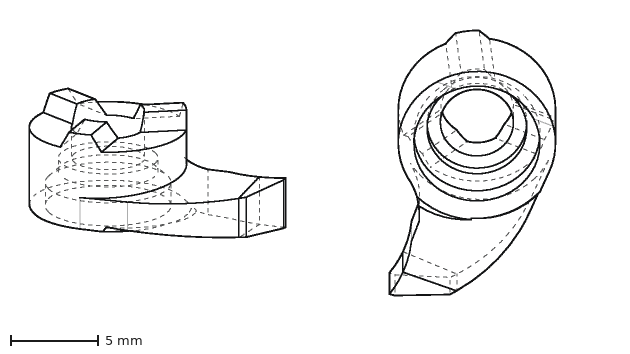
import cadquery as cq
import math

HUB_RADIUS = 4.5
HUB_HEIGHT = 4.74
BORE_RADIUS = 2.08

SEAT_RADIUS = 3.6
SEAT_STEP_RADIUS = 2.85
SEAT_CEILING = 2.88
SEAT_CONE_TOP = 2.1
SEAT_CONE_BOTTOM = 1.4

TOOTH_COUNT = 3
TOOTH_HEIGHT = 1.0
TOOTH_BASE_WIDTH = 2.52
TOOTH_TOP_WIDTH = 1.35
FIRST_TOOTH_ANGLE = 30.0

ARM_MIDDLE = 1.12
NOSE_X = 10.5
NOSE_Y = 1.02
NOSE_HALF_THICKNESS = 1.48
TAPER_X = 0.028
TAPER_Y = 0.075
TIP_SPLIT_X = 8.95

BELLY_START_X = 2.91
BELLY_MIDDLE = (6.39, -3.88)
BELLY_END = (9.32, -2.22)
FRONT_END = (10.48, 0.7)
BACK_MIDDLE = (8.94, 0.82)
BACK_END = (6.99, 1.12)
NECK_START = (5.64, 1.2)
NECK_MIDDLE = (4.64, 1.71)
NECK_END_X = 3.5
NECK_END_Y = math.sqrt(HUB_RADIUS**2 - NECK_END_X**2)

LAND_RADIUS = 4.71
LAND_TOP_RADIUS = 4.8
LAND_HEIGHT = 0.38
CLEARANCE_RADIUS = 4.78
CLEARANCE_BOTTOM_RADIUS = 5.25
CLEARANCE_DEPTH = 0.42

RELIEF_START_X = -2.7
RELIEF_RISE = 0.09

CUT_SIZE = 30.0


def make_teeth():
    """Trapezoidal radial teeth, trimmed to the hub's outer cylinder."""
    half_base = TOOTH_BASE_WIDTH / 2
    half_top = TOOTH_TOP_WIDTH / 2
    teeth = cq.Workplane()
    for index in range(TOOTH_COUNT):
        tooth = (
            cq.Workplane("YZ")
            .polyline([
                (-half_base, HUB_HEIGHT),
                (half_base, HUB_HEIGHT),
                (half_top, HUB_HEIGHT + TOOTH_HEIGHT),
                (-half_top, HUB_HEIGHT + TOOTH_HEIGHT),
            ])
            .close()
            .extrude(HUB_RADIUS)
            .rotate((0, 0, 0), (0, 0, 1), FIRST_TOOTH_ANGLE + index * 360 / TOOTH_COUNT)
        )
        teeth = teeth.add(tooth)
    envelope = cq.Workplane().circle(HUB_RADIUS).extrude(HUB_HEIGHT + TOOTH_HEIGHT)
    return teeth.combine().intersect(envelope)


def make_hub():
    """Cylinder with teeth on top and a sloped relief below."""
    hub = cq.Workplane().circle(HUB_RADIUS).extrude(HUB_HEIGHT)
    relief = (
        cq.Workplane("XZ")
        .polyline([(RELIEF_START_X, 0), (-HUB_RADIUS, 0), (-HUB_RADIUS, RELIEF_RISE)])
        .close()
        .extrude(HUB_RADIUS, both=True)
    )
    return hub.cut(relief).union(make_teeth())


def arm_blank(bottom, top):
    """Arm outline extruded between two heights."""
    return (
        cq.Workplane()
        .workplane(offset=bottom)
        .moveTo(0, -HUB_RADIUS)
        .lineTo(BELLY_START_X, -HUB_RADIUS)
        .threePointArc(BELLY_MIDDLE, BELLY_END)
        .lineTo(*FRONT_END)
        .lineTo(NOSE_X, NOSE_Y)
        .threePointArc(BACK_MIDDLE, BACK_END)
        .lineTo(*NECK_START)
        .threePointArc(NECK_MIDDLE, (NECK_END_X, NECK_END_Y))
        .lineTo(0, 0)
        .close()
        .extrude(top - bottom)
    )


def make_tapered_arm():
    """Arm with its upper and lower faces sloping down from the nose."""
    arm = arm_blank(ARM_MIDDLE - NOSE_HALF_THICKNESS, ARM_MIDDLE + NOSE_HALF_THICKNESS)
    for side in (1, -1):
        face = cq.Plane(
            origin=(NOSE_X, NOSE_Y, ARM_MIDDLE + side * NOSE_HALF_THICKNESS),
            xDir=(1, 0, side * TAPER_X),
            normal=(-TAPER_X, -TAPER_Y, side),
        )
        arm = arm.cut(cq.Workplane(face).rect(CUT_SIZE, CUT_SIZE).extrude(CUT_SIZE / 2))
    return arm


def make_land():
    """Part of the arm that fills down to the flat land at Z = 0."""
    cone = cq.Solid.makeCone(LAND_RADIUS, LAND_TOP_RADIUS, LAND_HEIGHT)
    return arm_blank(0, LAND_HEIGHT).intersect(cq.Workplane(cone))


def make_land_clearance():
    """Space below the land, with a conical edge."""
    cone = cq.Solid.makeCone(
        CLEARANCE_BOTTOM_RADIUS,
        CLEARANCE_RADIUS,
        CLEARANCE_DEPTH,
        pnt=cq.Vector(0, 0, -CLEARANCE_DEPTH),
    )
    return cq.Workplane(cone)


def make_bore():
    """Through bore with a stepped conical seat opening downward."""
    return (
        cq.Workplane("XZ")
        .polyline([
            (0, 0),
            (SEAT_RADIUS, 0),
            (SEAT_RADIUS, SEAT_CONE_BOTTOM),
            (SEAT_STEP_RADIUS, SEAT_CONE_TOP),
            (SEAT_STEP_RADIUS, SEAT_CEILING),
            (BORE_RADIUS, SEAT_CEILING),
            (BORE_RADIUS, HUB_HEIGHT + TOOTH_HEIGHT),
            (0, HUB_HEIGHT + TOOTH_HEIGHT),
        ])
        .close()
        .revolve(360, (0, 0, 0), (0, 1, 0))
    )


def tip_region():
    """Half space beyond the joint between holder and cutting tip."""
    return cq.Workplane("YZ", origin=(TIP_SPLIT_X, 0, 0)).rect(CUT_SIZE, CUT_SIZE).extrude(CUT_SIZE)


def make_holder():
    """Toothed hub with the inner part of the arm."""
    arm = make_tapered_arm().union(make_land()).cut(make_land_clearance())
    return make_hub().union(arm.cut(tip_region())).cut(make_bore())


def make_cutting_tip():
    """Outer end of the arm, from the flat joint to the nose."""
    return make_tapered_arm().intersect(tip_region())


holder = make_holder()
cutting_tip = make_cutting_tip()
result = cq.Compound.makeCompound([holder.solids().val(), cutting_tip.solids().val()])